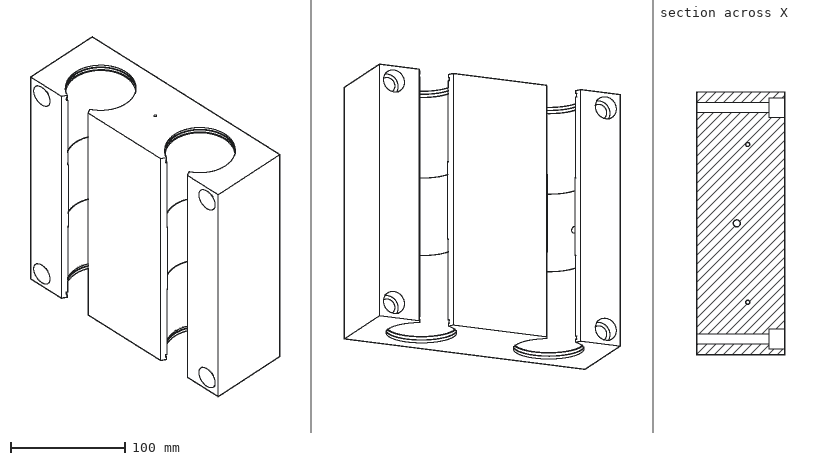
import cadquery as cq
import math

width = 230.0
depth = 77.0
height = 230.0

bore_spacing = 121.7
bore_from_front = 32.5
bore_diameter = 61.2
land_diameter = 60.3
land_length = 70.8
mouth_width = 32.7
mouth_half_angle = math.radians(30)

entry_diameter = 61.9
groove_diameter = 63.5
groove_from_end = 2.8
groove_width = 3.0

mount_inset = 13.8
mount_spacing = width - 2 * mount_inset
mount_diameter = 13.8
counterbore_diameter = 20.0
counterbore_depth = 13.8

oil_inlet_diameter = 2.3
oil_outlet_diameter = 3.5
oil_depth = 11.5
oil_row_offset = 69.0
center_oil_diameter = 6.0
center_oil_y = 3.5

bore_y = bore_from_front - depth / 2
bore_centers = (-bore_spacing / 2, bore_spacing / 2)


def bore_cylinder(x, diameter, bottom, length):
    """Cylinder on a bore axis, starting at height bottom."""
    return cq.Workplane("XY", origin=(x, bore_y, bottom)).circle(diameter / 2).extrude(length)


def bore_mouth(x):
    """Wedge opening that widens from inside the bore to the front face."""
    half_width = mouth_width / 2
    apex_y = -depth / 2 + half_width / math.tan(mouth_half_angle)
    return (
        cq.Workplane("XY", origin=(x, 0, -height / 2))
        .polyline([(0, apex_y), (-half_width, -depth / 2), (half_width, -depth / 2)])
        .close()
        .extrude(height)
    )


def bore_cutter(x):
    """Bore with a tighter middle land, end grooves and an open mouth."""
    cutter = bore_cylinder(x, land_diameter, -height / 2, height).union(bore_mouth(x))
    groove_inner = groove_from_end + groove_width
    section_length = (height - land_length) / 2 - groove_inner
    sections = (
        (entry_diameter, 0, groove_from_end),
        (groove_diameter, groove_from_end, groove_width),
        (bore_diameter, groove_inner, section_length),
    )
    for diameter, start, length in sections:
        lower = -height / 2 + start
        upper = height / 2 - start - length
        for bottom in (lower, upper):
            cutter = cutter.union(bore_cylinder(x, diameter, bottom, length))
    return cutter


def wall_oil_hole(y, z, diameter):
    """Blind hole in the +X wall of the right-hand bore."""
    reach = bore_diameter / 2 + oil_depth
    return cq.Workplane("YZ", origin=(bore_spacing / 2, y, z)).circle(diameter / 2).extrude(reach)


result = cq.Workplane("XY").box(width, depth, height)

for center_x in bore_centers:
    result = result.cut(bore_cutter(center_x))

result = (
    result.faces("<Y")
    .workplane(centerOption="CenterOfBoundBox")
    .rect(mount_spacing, mount_spacing, forConstruction=True)
    .vertices()
    .cboreHole(mount_diameter, counterbore_diameter, counterbore_depth)
)

oil_inlet = cq.Workplane("XY", origin=(0, 0, height / 2))
oil_inlet = oil_inlet.circle(oil_inlet_diameter / 2).extrude(-oil_depth)
result = result.cut(oil_inlet)

for outlet_z in (-oil_row_offset, oil_row_offset):
    result = result.cut(wall_oil_hole(bore_y, outlet_z, oil_outlet_diameter))
result = result.cut(wall_oil_hole(center_oil_y, 0, center_oil_diameter))